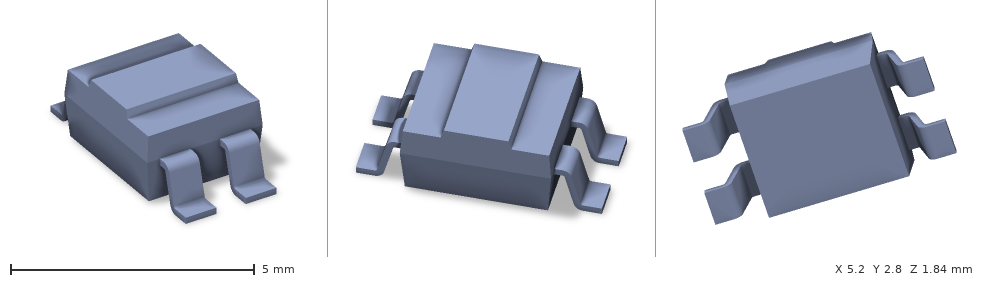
import cadquery as cq
import math

span = 5.2
height = 1.84

body_length = 3.2
body_width = 2.8
body_bottom = 0.05
parting_height = 1.05
shoulder_height = 1.645
draft_angle = 5.0

ridge_base_length = 1.5
ridge_top_length = 1.36

lead_width = 0.745
lead_pitch = 1.455
lead_thickness = 0.15
foot_length = 0.4
inner_bend_radius = 0.05
leg_tilt = math.radians(15.0)
lead_embed = 0.155


def drafted_half(rise):
    """Block narrowing from the parting plane over a signed rise."""
    parting_plane = cq.Workplane("XY").workplane(offset=parting_height)
    return parting_plane.rect(body_length, body_width).extrude(rise, taper=draft_angle)


def make_body():
    """Two drafted halves, with the upper one stepped down beside the ridge."""
    lower = drafted_half(body_bottom - parting_height)
    upper = drafted_half(height - parting_height)
    stepped_profile = (
        cq.Workplane("XZ")
        .moveTo(-body_length / 2, parting_height)
        .lineTo(-body_length / 2, shoulder_height)
        .lineTo(-ridge_base_length / 2, shoulder_height)
        .lineTo(-ridge_top_length / 2, height)
        .lineTo(ridge_top_length / 2, height)
        .lineTo(ridge_base_length / 2, shoulder_height)
        .lineTo(body_length / 2, shoulder_height)
        .lineTo(body_length / 2, parting_height)
        .close()
        .extrude(body_width / 2, both=True)
    )
    return lower.union(upper.intersect(stepped_profile))


def point_on_circle(center, radius, angle):
    return (center[0] + radius * math.cos(angle), center[1] + radius * math.sin(angle))


def make_left_lead(y_center):
    """Lead bent along two equal arcs joined by a straight tilted leg."""
    outer_bend_radius = inner_bend_radius + lead_thickness
    middle_diameter = inner_bend_radius + outer_bend_radius

    center_rise = parting_height - 2 * outer_bend_radius
    center_run = (middle_diameter + center_rise * math.sin(leg_tilt)) / math.cos(leg_tilt)
    foot_center = (-span / 2 + foot_length, outer_bend_radius)
    shoulder_center = (foot_center[0] + center_run, parting_height - outer_bend_radius)

    foot_start = -math.pi / 2
    foot_end = -leg_tilt
    foot_middle = (foot_start + foot_end) / 2
    shoulder_start = math.pi - leg_tilt
    shoulder_end = math.pi / 2
    shoulder_middle = (shoulder_start + shoulder_end) / 2

    def foot_point(radius, angle):
        return point_on_circle(foot_center, radius, angle)

    def shoulder_point(radius, angle):
        return point_on_circle(shoulder_center, radius, angle)

    inner = inner_bend_radius
    outer = outer_bend_radius
    lead_end = -body_length / 2 + lead_embed
    return (
        cq.Workplane("XZ", origin=(0, y_center, 0))
        .moveTo(-span / 2, 0)
        .lineTo(*foot_point(outer, foot_start))
        .threePointArc(foot_point(outer, foot_middle), foot_point(outer, foot_end))
        .lineTo(*shoulder_point(inner, shoulder_start))
        .threePointArc(shoulder_point(inner, shoulder_middle), shoulder_point(inner, shoulder_end))
        .lineTo(lead_end, parting_height - lead_thickness)
        .lineTo(lead_end, parting_height)
        .lineTo(*shoulder_point(outer, shoulder_end))
        .threePointArc(shoulder_point(outer, shoulder_middle), shoulder_point(outer, shoulder_start))
        .lineTo(*foot_point(inner, foot_end))
        .threePointArc(foot_point(inner, foot_middle), foot_point(inner, foot_start))
        .lineTo(-span / 2, lead_thickness)
        .close()
        .extrude(lead_width / 2, both=True)
    )


result = make_body()
for y_center in (-lead_pitch / 2, lead_pitch / 2):
    left_lead = make_left_lead(y_center)
    result = result.union(left_lead).union(left_lead.mirror("YZ"))